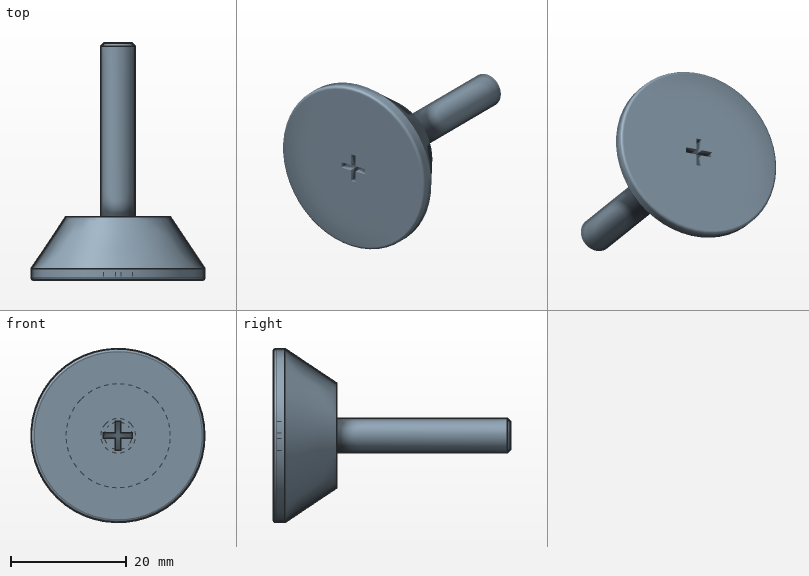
import cadquery as cq

total_length = 41.0
head_height = 11.0
rim_height = 2.0
rim_diameter = 30.0
shoulder_diameter = 18.0
pin_diameter = 6.0

face_fillet = 0.5
pin_chamfer = 0.6

cross_span = 5.0
cross_width = 1.0
cross_depth = rim_height


def make_head():
    """Foot with a cylindrical rim that tapers to the shoulder around the pin."""
    rim_radius = rim_diameter / 2
    profile = (
        cq.Workplane("XY")
        .lineTo(rim_radius, 0)
        .lineTo(rim_radius, rim_height)
        .lineTo(shoulder_diameter / 2, head_height)
        .lineTo(0, head_height)
        .close()
    )
    head = profile.revolve(360, (0, 0, 0), (0, 1, 0))
    return head.faces("<Y").edges().fillet(face_fillet)


def make_pin():
    """Round pin rooted inside the head, running along +Y to a chamfered tip."""
    pin_length = total_length - rim_height
    pin = (
        cq.Workplane("XZ", origin=(0, rim_height, 0))
        .circle(pin_diameter / 2)
        .extrude(-pin_length)
    )
    return pin.faces(">Y").edges().chamfer(pin_chamfer)


def make_cross_recess():
    """Two crossed bars that cut the driver recess."""
    face = cq.Workplane("XZ")
    bar_x = face.rect(cross_span, cross_width).extrude(-cross_depth)
    bar_z = face.rect(cross_width, cross_span).extrude(-cross_depth)
    return bar_x.union(bar_z)


result = make_head().union(make_pin()).cut(make_cross_recess())